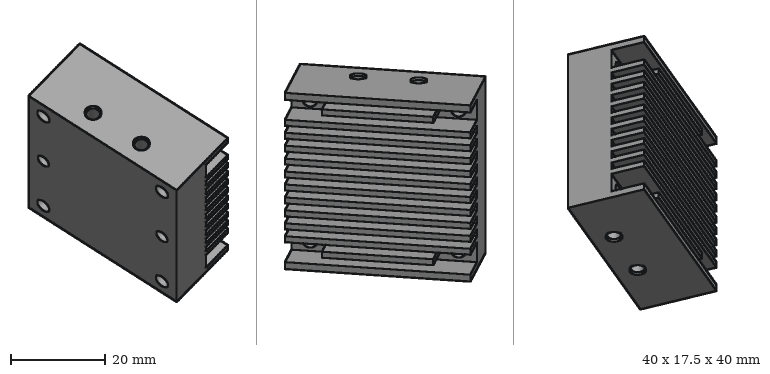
import cadquery as cq
import math

side = 40.0
depth = 17.5
base_thickness = 10.0

inner_fin_count = 12
inner_fin_thickness = 1.35
outer_fin_thickness = 1.6
channel_count = inner_fin_count + 1
channels_total = side - 2 * outer_fin_thickness - inner_fin_count * inner_fin_thickness
channel_width = channels_total / channel_count
fin_pitch = inner_fin_thickness + channel_width
fin_length = depth - base_thickness

hole_offset = 16.0
corner_hole_diameter = 3.3
blind_hole_diameter = 3.0
blind_hole_depth = 6.0

short_fin_offset = (inner_fin_count - 1) / 2 * fin_pitch
short_fin_setback = 2 * (side / 2 - hole_offset)

long_hole_diameter = 3.0
long_hole_offset = 6.5
countersink_width = 0.3
countersink_angle = 60.0
countersink_depth = countersink_width / math.tan(math.radians(countersink_angle / 2))

front_y = -depth / 2
fin_root_y = front_y + base_thickness
long_hole_y = front_y + base_thickness / 2


def make_channels():
    """Slots between the fins, open at both X ends and at the +Y side."""
    return (
        cq.Workplane("XZ", origin=(0, fin_root_y, 0))
        .rarray(0.4, fin_pitch, 1, channel_count)
        .rect(side, channel_width)
        .extrude(-fin_length)
    )


def make_fin_setbacks():
    """Removes both ends of the two short fins."""
    setback_spacing = side - short_fin_setback
    return (
        cq.Workplane("XZ", origin=(0, fin_root_y, 0))
        .rarray(setback_spacing, 2 * short_fin_offset, 2, 2)
        .rect(short_fin_setback, inner_fin_thickness + channel_width)
        .extrude(-fin_length)
    )


def make_corner_holes():
    return (
        cq.Workplane("XZ", origin=(0, front_y, 0))
        .rarray(2 * hole_offset, 2 * hole_offset, 2, 2)
        .circle(corner_hole_diameter / 2)
        .extrude(-depth)
    )


def make_blind_holes():
    return (
        cq.Workplane("XZ", origin=(0, front_y, 0))
        .rarray(2 * hole_offset, 0.4, 2, 1)
        .circle(blind_hole_diameter / 2)
        .extrude(-blind_hole_depth)
    )


def make_long_hole(x):
    """Through hole along Z with a countersink at each mouth."""
    radius = long_hole_diameter / 2
    mouth_radius = radius + countersink_width
    half_height = side / 2
    straight_end = half_height - countersink_depth
    return (
        cq.Workplane("XZ", origin=(x, long_hole_y, 0))
        .moveTo(0, -half_height)
        .lineTo(mouth_radius, -half_height)
        .lineTo(radius, -straight_end)
        .lineTo(radius, straight_end)
        .lineTo(mouth_radius, half_height)
        .lineTo(0, half_height)
        .close()
        .revolve(360, (0, 0, 0), (0, 1, 0))
    )


result = cq.Workplane("XY").box(side, depth, side)
result = result.cut(make_channels())
result = result.cut(make_fin_setbacks())
result = result.cut(make_corner_holes())
result = result.cut(make_blind_holes())
for x in (-long_hole_offset, long_hole_offset):
    result = result.cut(make_long_hole(x))